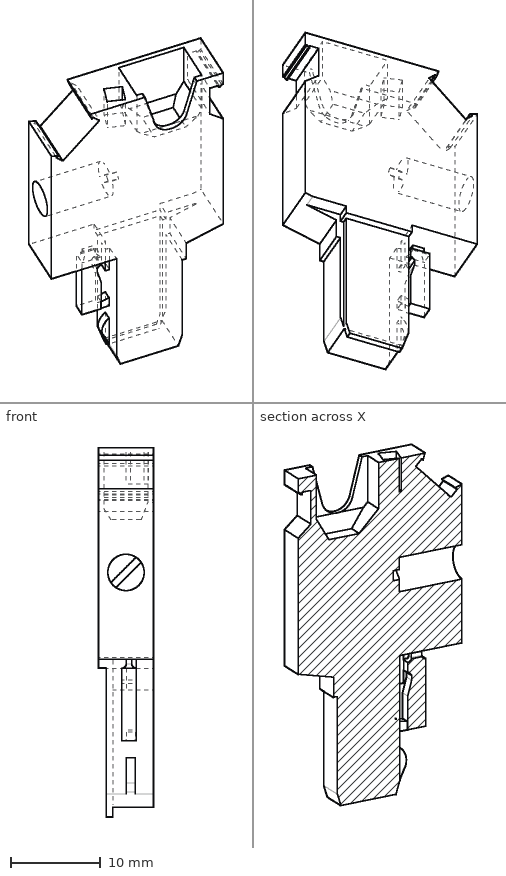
import cadquery as cq
import math

width = 6.15
depth = 21.0
height = 41.17

body_bottom = 17.57
back_bevel_start = 17.8
label_slope_top_y = 5.88
label_slope_top_z = 39.77
label_slope_length = 4.48
label_slope_bottom_y = label_slope_top_y - label_slope_length
label_slope_bottom_z = label_slope_top_z - label_slope_length
lid_front_y = 4.71
front_face_top = 36.57
lower_hook_tip = (0.87, 36.3)
lower_hook_root_y = 0.64
upper_hook_tip = (4.95, 40.35)
upper_hook_root_y = 5.13
back_lip_bottom = 39.42
back_nib_bottom = 39.15
back_nib_start = 20.8
back_nib_tip = 20.6
back_nib_end = 20.45
back_recess_y = 19.37
back_recess_bottom = 35.45
back_face_top = 34.07

leg_left = 0.87
leg_front = 7.96
leg_back = 15.99
leg_bottom = 1.1
leg_taper_height = 2.6
leg_taper_inset = 0.82
leg_plate_right = 1.6
leg_plate_back = 15.62
flange_bottom = 16.6

rib_projection = 0.49
rib_bottom = 14.2
gusset_back = leg_back + rib_projection
bevel_slope = (back_bevel_start - flange_bottom) / (depth - gusset_back)
bevel_front = gusset_back + (body_bottom - flange_bottom) / bevel_slope

latch_left = 2.6
latch_right = 4.22
latch_front = 4.61
latch_back = 6.97
latch_bottom = 8.52
latch_top = flange_bottom
latch_neck_flare = 0.5
latch_neck_left = latch_left + latch_neck_flare
latch_neck_right = latch_right - latch_neck_flare
latch_neck_front = latch_front + latch_neck_flare
latch_neck_back = latch_back - latch_neck_flare
latch_neck_bottom = latch_top + latch_neck_flare
latch_waist_back = latch_neck_back
latch_notch_top = 15.34
latch_notch_lip_back = 6.8
latch_waist_top = 14.95
latch_waist_bottom = 14.4
latch_notch_bottom = 12.6
latch_tab_blade_top = 9.53
latch_tab_leg_top = 9.75

bump_left = 3.1
bump_right = 4.12
bump_height = 0.87
bump_top = 6.6
bump_middle = 4.95
bump_ramp_start = 3.83
bump_bottom = 2.85
bump_radius = ((bump_top - bump_middle) ** 2 + bump_height**2) / (2 * bump_height)

funnel_left = 0.62
funnel_right = 5.48
funnel_front = 10.71
funnel_back = 18.66
funnel_depth = 8.0
funnel_left_angle = 58.0
funnel_right_angle = 69.0
funnel_front_angle = 45.0
funnel_back_angle = 59.6
funnel_side_inset = 0.74
funnel_front_inset = 2.48
funnel_back_inset = 1.63

notch_center_y = 14.6
notch_half_width = 3.17
notch_radius = 2.0
notch_wall_angle = 75.0

probe_x = 4.30
probe_y = 8.57
probe_side = 2.08
probe_turn = -14.5
probe_depth = 4.0

screw_x = width / 2
screw_z = 27.27
screw_hole_diameter = 4.05
screw_head_depth = 8.0
screw_slot_width = 0.8
screw_slot_depth = 0.8
screw_slot_turn = 45


def extrude_along_x(outline, left, right):
    """Extrude a (Y, Z) outline from X = left to X = right."""
    return cq.Workplane("YZ", origin=(left, 0, 0)).polyline(outline).close().extrude(right - left)


def box(x_range, y_range, z_range):
    """Box between the given limits."""
    sizes = [high - low for low, high in (x_range, y_range, z_range)]
    corner = (x_range[0], y_range[0], z_range[0])
    return cq.Workplane("XY").box(*sizes, centered=False).translate(corner)


def make_housing():
    """Full-width block with the label seat at the front and the lip and recess at the back."""
    outline = [
        (0, body_bottom),
        (0, front_face_top),
        lower_hook_tip,
        (lower_hook_root_y, label_slope_bottom_z + label_slope_bottom_y - lower_hook_root_y),
        (label_slope_bottom_y, label_slope_bottom_z),
        (label_slope_top_y, label_slope_top_z),
        (upper_hook_root_y, label_slope_top_z + label_slope_top_y - upper_hook_root_y),
        upper_hook_tip,
        (lid_front_y, height),
        (depth, height),
        (depth, back_lip_bottom),
        (back_nib_start, back_lip_bottom),
        (back_nib_tip, back_nib_bottom),
        (back_nib_end, back_nib_bottom),
        (back_nib_end, back_lip_bottom),
        (back_recess_y, back_lip_bottom),
        (back_recess_y, back_recess_bottom),
        (depth, back_face_top),
        (depth, back_bevel_start),
        (bevel_front, body_bottom),
    ]
    return extrude_along_x(outline, 0, width)


def leg_outline(back, bottom):
    """(Y, Z) outline of the leg, tapered at its lower end and cut off at the given bottom."""
    inset = leg_taper_inset * (1 - bottom / leg_taper_height)
    back_inset = max(inset - (leg_back - back), 0)
    return [
        (leg_front, body_bottom),
        (leg_front, leg_taper_height),
        (leg_front + inset, bottom),
        (back - back_inset, bottom),
        (back, leg_taper_height * (1 - (leg_back - back) / leg_taper_inset)),
        (back, body_bottom),
    ]


def make_leg():
    """Leg core with a longer thin plate on its -X side, under a wider flange."""
    plate = extrude_along_x(leg_outline(leg_plate_back, 0), leg_left, leg_plate_right)
    core = extrude_along_x(leg_outline(leg_back, leg_bottom), leg_plate_right, width)
    flange = box((0, width), (leg_front, leg_back), (flange_bottom, body_bottom))
    return plate.union(core).union(flange)


def make_rib_and_gusset():
    """Narrow rib in front of the leg and the bevelled gusset behind it."""
    rib_front = leg_front - rib_projection
    rib = box((latch_neck_left, latch_right), (rib_front, leg_front), (rib_bottom, body_bottom))
    gusset = extrude_along_x(
        [
            (leg_back, body_bottom),
            (leg_back, rib_bottom),
            (gusset_back, rib_bottom),
            (gusset_back, flange_bottom),
            (bevel_front, body_bottom),
        ],
        leg_plate_right,
        width,
    )
    return rib.union(gusset)


def flared_neck_profile(plane, origin, low, high, length):
    """Neck between low and high, flared by concave arcs to the blade top, extruded by length."""
    arc_offset = latch_neck_flare * (1 - math.sqrt(0.5))
    arc_mid_z = latch_top + arc_offset
    return (
        cq.Workplane(plane, origin=origin)
        .moveTo(low - latch_neck_flare, latch_top)
        .threePointArc((low - arc_offset, arc_mid_z), (low, latch_neck_bottom))
        .lineTo(low, body_bottom)
        .lineTo(high, body_bottom)
        .lineTo(high, latch_neck_bottom)
        .threePointArc((high + arc_offset, arc_mid_z), (high + latch_neck_flare, latch_top))
        .close()
        .extrude(length)
    )


def make_latch_neck():
    """Rectangular neck that flares out on all four sides to the top of the latch blade."""
    flared_in_y = flared_neck_profile(
        "YZ", (latch_left, 0, 0), latch_neck_front, latch_neck_back, latch_right - latch_left
    )
    flared_in_x = flared_neck_profile(
        "XZ", (0, latch_back, 0), latch_neck_left, latch_neck_right, latch_back - latch_front
    )
    return flared_in_y.intersect(flared_in_x)


def make_latch():
    """Blade hanging on its neck, tied to the leg by a small tab at the lower end."""
    blade = extrude_along_x(
        [
            (latch_front, latch_bottom),
            (latch_front, latch_top),
            (latch_back, latch_top),
            (latch_back, latch_notch_top),
            (latch_notch_lip_back, latch_notch_top),
            (latch_waist_back, latch_waist_top),
            (latch_waist_back, latch_waist_bottom),
            (latch_back, latch_notch_bottom),
            (latch_back, latch_bottom),
        ],
        latch_left,
        latch_right,
    )
    tab = extrude_along_x(
        [
            (latch_back, latch_bottom),
            (latch_back, latch_tab_blade_top),
            (leg_front, latch_tab_leg_top),
            (leg_front, latch_bottom),
        ],
        bump_left,
        bump_right,
    )
    return blade.union(make_latch_neck()).union(tab)


def make_bump():
    """Rounded detent whose toe lies on the upward continuation of the leg's tapered face."""
    arc_center_y = leg_front - bump_height + bump_radius
    toe_y = leg_front - leg_taper_inset * (bump_bottom / leg_taper_height - 1)
    ramp_y = arc_center_y - math.sqrt(bump_radius**2 - (bump_middle - bump_ramp_start) ** 2)
    return (
        cq.Workplane("YZ", origin=(bump_left, 0, 0))
        .moveTo(leg_front, bump_top)
        .threePointArc((leg_front - bump_height, bump_middle), (ramp_y, bump_ramp_start))
        .lineTo(toe_y, bump_bottom)
        .lineTo(leg_front, leg_taper_height)
        .close()
        .extrude(bump_right - bump_left)
    )


def make_funnel():
    """Pocket with upright upper walls; below, each wall leans in at its own angle."""
    floor = height - funnel_depth

    def slope_top(inset, angle):
        return floor + inset * math.tan(math.radians(angle))

    along_y = extrude_along_x(
        [
            (funnel_front, height),
            (funnel_front, slope_top(funnel_front_inset, funnel_front_angle)),
            (funnel_front + funnel_front_inset, floor),
            (funnel_back - funnel_back_inset, floor),
            (funnel_back, slope_top(funnel_back_inset, funnel_back_angle)),
            (funnel_back, height),
        ],
        funnel_left,
        funnel_right,
    )
    along_x = (
        cq.Workplane("XZ", origin=(0, funnel_back, 0))
        .polyline(
            [
                (funnel_left, height),
                (funnel_left, slope_top(funnel_side_inset, funnel_left_angle)),
                (funnel_left + funnel_side_inset, floor),
                (funnel_right - funnel_side_inset, floor),
                (funnel_right, slope_top(funnel_side_inset, funnel_right_angle)),
                (funnel_right, height),
            ]
        )
        .close()
        .extrude(funnel_back - funnel_front)
    )
    return along_y.intersect(along_x)


def make_notch():
    """V opening with a tangent round bottom through the +X funnel wall."""
    angle = math.radians(notch_wall_angle)
    tangent_half = notch_radius * math.sin(angle)
    tangent_z = height - (notch_half_width - tangent_half) * math.tan(angle)
    lowest_z = tangent_z + notch_radius * math.cos(angle) - notch_radius
    return (
        cq.Workplane("YZ", origin=(funnel_right, 0, 0))
        .moveTo(notch_center_y - notch_half_width, height)
        .lineTo(notch_center_y - tangent_half, tangent_z)
        .threePointArc((notch_center_y, lowest_z), (notch_center_y + tangent_half, tangent_z))
        .lineTo(notch_center_y + notch_half_width, height)
        .close()
        .extrude(width - funnel_right)
    )


def make_probe_hole():
    """Square hole in the top face, turned about Z."""
    return (
        cq.Workplane("XY", origin=(probe_x, probe_y, height))
        .transformed(rotate=(0, 0, probe_turn))
        .rect(probe_side, probe_side)
        .extrude(-probe_depth)
    )


def make_screw_recess():
    """Round hole down to the screw head, with the head's diagonal slot at its end."""

    def round_hole(hole_depth):
        return (
            cq.Workplane("XZ", origin=(screw_x, 0, screw_z))
            .circle(screw_hole_diameter / 2)
            .extrude(-hole_depth)
        )

    slot_end = screw_head_depth + screw_slot_depth
    slot_bar = (
        cq.Workplane("XZ", origin=(screw_x, 0, screw_z))
        .transformed(rotate=(0, 0, screw_slot_turn))
        .rect(screw_hole_diameter, screw_slot_width)
        .extrude(-slot_end)
    )
    return round_hole(screw_head_depth).union(slot_bar.intersect(round_hole(slot_end)))


result = make_housing()
for added in (make_leg(), make_rib_and_gusset(), make_latch(), make_bump()):
    result = result.union(added)
for removed in (make_funnel(), make_notch(), make_probe_hole(), make_screw_recess()):
    result = result.cut(removed)